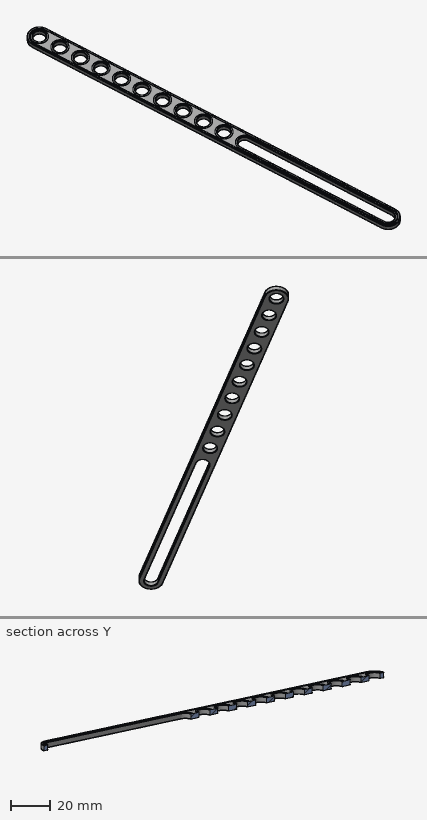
import cadquery as cq

length = 225.0
pitch_count = 18
hole_count = 10
hole_diameter = 7.0
rim_diameter = 9.2
thickness = 3.2
edge_chamfer = 0.32
recess_depth = 0.2

pitch = length / pitch_count
width = pitch
rim_width = (rim_diameter - hole_diameter) / 2
first_hole_x = (pitch - length) / 2
hole_centers = [(first_hole_x + i * pitch, 0) for i in range(hole_count)]
slot_start_x = first_hole_x + hole_count * pitch
slot_end_x = -first_hole_x
slot_center_x = (slot_start_x + slot_end_x) / 2
slot_center_distance = slot_end_x - slot_start_x


def pierced_strip(inset, bottom_z, height):
    """Round-ended strip with the hole row and the long slot cut through it.

    The inset moves every boundary into the material: the outline shrinks
    and the openings grow.
    """
    base = cq.Workplane("XY").workplane(offset=bottom_z)
    opening_width = hole_diameter + 2 * inset
    blank = base.slot2D(length - 2 * inset, width - 2 * inset).extrude(height)
    holes = base.pushPoints(hole_centers).circle(opening_width / 2).extrude(height)
    slot = (
        base.center(slot_center_x, 0)
        .slot2D(slot_center_distance + opening_width, opening_width)
        .extrude(height)
    )
    return blank.cut(holes).cut(slot)


strip = pierced_strip(0, -thickness / 2, thickness)
strip = strip.faces("|Z").edges().chamfer(edge_chamfer)

top_recess = pierced_strip(rim_width, thickness / 2 - recess_depth, recess_depth)

result = strip.cut(top_recess)